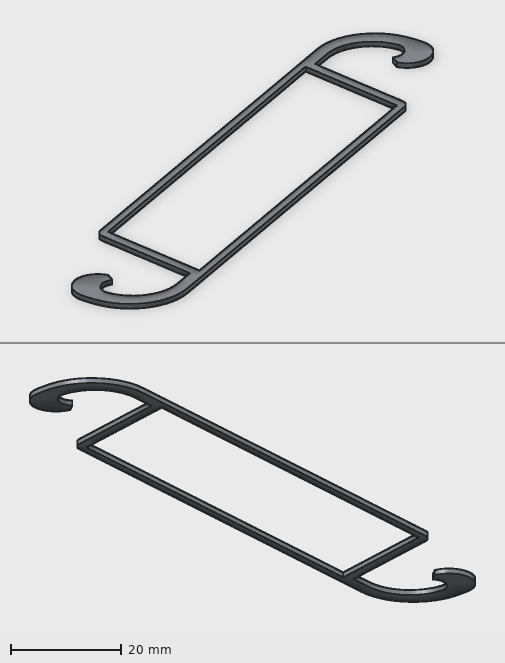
import cadquery as cq
import math

WIDTH = 25.0
THICKNESS = 1.0

ROD_WIDTH = 1.5
BAR_WIDTH = 2.0
BAR_SLOPE = math.radians(14.8)
BAR_CENTRE_Y = 38.8
CORNER_RADIUS = 2.0

STEM_WIDTH = 2.5
HOOK_TOP_Y = 59.965
OUTER_RADIUS = 11.8
INNER_RADIUS = 9.5
INNER_CENTRE_Y = 47.1
BULB_RADIUS = 4.8
BULB_CENTRE = (2.25, 54.9)
BULB_END_ANGLE = math.radians(-84)
MOUTH_RADIUS = 2.85
MOUTH_CENTRE = (-0.8, 53.65)
MOUTH_START_ANGLE = math.radians(78)
MOUTH_END_ANGLE = math.radians(-48)

HALF_WIDTH = WIDTH / 2
WINDOW_HALF_WIDTH = HALF_WIDTH - ROD_WIDTH
STEM_INNER_X = STEM_WIDTH - HALF_WIDTH
OUTER_CENTRE = (OUTER_RADIUS - HALF_WIDTH, HOOK_TOP_Y - OUTER_RADIUS)
INNER_CENTRE = (STEM_INNER_X + INNER_RADIUS, INNER_CENTRE_Y)


def bar_y(x, offset=0.0):
    """Height, at x, of a line parallel to the upper bar's centre line and offset above it."""
    return BAR_CENTRE_Y + offset / math.cos(BAR_SLOPE) - x * math.tan(BAR_SLOPE)


def circle_point(centre, radius, angle):
    return (centre[0] + radius * math.cos(angle), centre[1] + radius * math.sin(angle))


def direction(start, end):
    return math.atan2(end[1] - start[1], end[0] - start[0])


def half_turned(solid):
    return solid.rotate((0, 0, 0), (0, 0, 1), 180)


def make_parallelogram(half_width, bar_offset):
    """Plate with upright sides whose sloping ends run parallel to the cross bars."""
    left_y = bar_y(-half_width, bar_offset)
    right_y = bar_y(half_width, bar_offset)
    corners = [
        (-half_width, left_y),
        (half_width, right_y),
        (half_width, -left_y),
        (-half_width, -right_y),
    ]
    return cq.Workplane("XY").polyline(corners).close().extrude(THICKNESS)


def make_frame():
    frame = make_parallelogram(HALF_WIDTH, BAR_WIDTH / 2)
    blunt_corner_y = bar_y(HALF_WIDTH, BAR_WIDTH / 2)
    for side in (1, -1):
        corner = (side * HALF_WIDTH, side * blunt_corner_y, THICKNESS / 2)
        frame = frame.edges(cq.NearestToPointSelector(corner)).fillet(CORNER_RADIUS)
    window = make_parallelogram(WINDOW_HALF_WIDTH, -BAR_WIDTH / 2)
    return frame.cut(window)


def make_hook():
    """Upper hook, rooted in the upper cross bar."""
    top = (OUTER_CENTRE[0], HOOK_TOP_Y)
    bulb_offset = BULB_CENTRE[0] - top[0]
    bulb_depth = HOOK_TOP_Y - BULB_CENTRE[1]
    crown_radius = (bulb_offset**2 + bulb_depth**2 - BULB_RADIUS**2) / (2 * (bulb_depth - BULB_RADIUS))
    crown_centre = (top[0], HOOK_TOP_Y - crown_radius)
    bulb_start_angle = direction(crown_centre, BULB_CENTRE)

    def arc(sketch, centre, radius, start_angle, end_angle):
        middle = circle_point(centre, radius, (start_angle + end_angle) / 2)
        return sketch.threePointArc(middle, circle_point(centre, radius, end_angle))

    inner_end = circle_point(MOUTH_CENTRE, MOUTH_RADIUS, MOUTH_START_ANGLE)
    inner_middle_angle = (math.pi + direction(INNER_CENTRE, inner_end)) / 2

    sketch = cq.Workplane("XY").moveTo(-HALF_WIDTH, bar_y(-HALF_WIDTH)).lineTo(-HALF_WIDTH, OUTER_CENTRE[1])
    sketch = arc(sketch, OUTER_CENTRE, OUTER_RADIUS, math.pi, math.pi / 2)
    sketch = arc(sketch, crown_centre, crown_radius, math.pi / 2, bulb_start_angle)
    sketch = arc(sketch, BULB_CENTRE, BULB_RADIUS, bulb_start_angle, BULB_END_ANGLE)
    sketch = sketch.lineTo(*circle_point(MOUTH_CENTRE, MOUTH_RADIUS, MOUTH_END_ANGLE))
    sketch = arc(sketch, MOUTH_CENTRE, MOUTH_RADIUS, MOUTH_END_ANGLE, MOUTH_START_ANGLE)
    sketch = sketch.threePointArc(
        circle_point(INNER_CENTRE, INNER_RADIUS, inner_middle_angle),
        (STEM_INNER_X, INNER_CENTRE_Y),
    )
    return sketch.lineTo(STEM_INNER_X, bar_y(STEM_INNER_X)).close().extrude(THICKNESS)


hook = make_hook()
result = make_frame().union(hook).union(half_turned(hook)).clean()